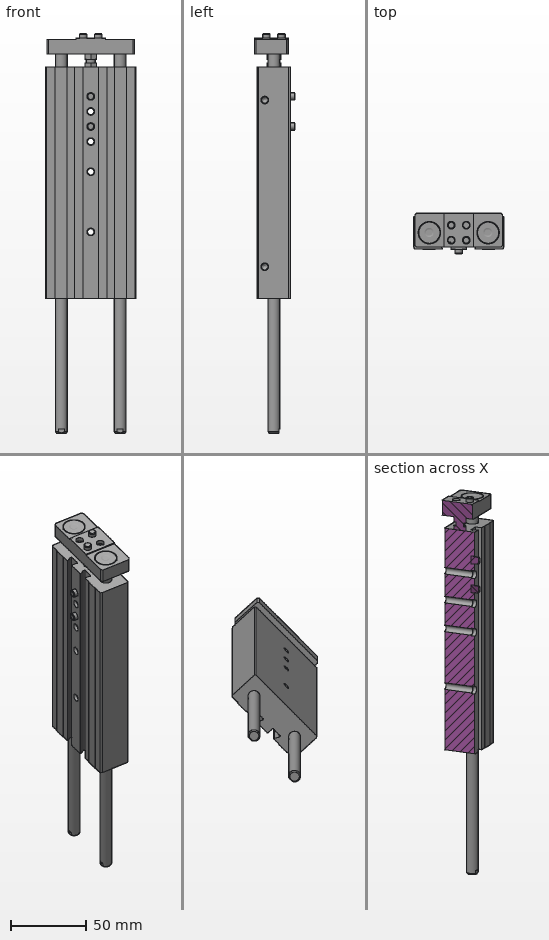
import cadquery as cq
import math


rod_diameter = 8.0
rod_spacing = 39.0
rod_end_chamfer_width = 0.8
rod_end_chamfer_height = 1.0
rod_flat_depth = 0.5
rod_flat_height = 3.0
rod_head_diameter = 14.0
rod_head_height = 4.0
rod_dimple_diameter = 6.0
rod_dimple_floor_diameter = 4.2
rod_dimple_depth = 0.3

housing_width = 60.0
housing_depth = 22.3
housing_bottom_z = 89.5
housing_top_z = 243.5
housing_front_chamfer_x = 0.8
housing_front_chamfer_y = 1.5
housing_back_chamfer = 0.8

rail_inner_x = 15.7
rail_outer_x = 23.6
relief_depth = 0.3

land_half_width = 5.3
slot_mouth_width = 5.5
slot_depth = 4.8
slot_undercut = 1.5
slot_lip = 0.8
slot_wall_height = 1.3

first_hole_z = 224.0
last_hole_drop = 90.0
housing_hole_steps = (0, 1, 2, 3, 5, 9)
hole_pitch = last_hole_drop / housing_hole_steps[-1]
pin_diameter = 5.0
pin_recess_depth = 2.7
tapped_diameter = 4.2
housing_pin_steps = (0, 2)

port_diameter = 5.0
port_entry_depth = 0.5
port_depth = 3.2
port_cone_depth = 1.5
port_y = 6.0
port_heights = (110.8, 221.5)

plate_width = 58.5
plate_back_y = 13.0
plate_front_y = -9.5
plate_bottom_z = 252.0
plate_shoulder_z = 262.0
plate_pad_z = 262.7
plate_pad_width = 20.0
plate_corner_chamfer = 1.2
head_recess_diameter = 15.0

nut_across_flats = 8.0
nut_height = 3.5
stop_screw_diameter = 6.0
stop_head_height = 2.7

pin_projection = 3.0
pin_chamfer = 0.5

rod_centres = [(side * rod_spacing / 2, 0) for side in (-1, 1)]
slot_outer_x = land_half_width + slot_mouth_width
housing_front_y = -housing_depth / 2
housing_back_y = housing_depth / 2
housing_height = housing_top_z - housing_bottom_z
plate_depth = plate_back_y - plate_front_y
plate_centre_y = (plate_back_y + plate_front_y) / 2
head_seat_z = plate_shoulder_z - rod_head_height
plate_hole_offset = hole_pitch / 2


def upright_cylinder(diameter, bottom_z, top_z, centre=(0, 0)):
    return cq.Workplane("XY", origin=(*centre, bottom_z)).circle(diameter / 2).extrude(top_z - bottom_z)


def upright_hexagon(across_flats, bottom_z, top_z):
    """Hexagonal prism with two of its corners on the Y axis."""
    corner_radius = across_flats / 2 / math.cos(math.pi / 6)
    corner_angles = [math.pi / 2 + corner * math.pi / 3 for corner in range(6)]
    corners = [(corner_radius * math.cos(angle), corner_radius * math.sin(angle)) for angle in corner_angles]
    hexagon = cq.Workplane("XY", origin=(0, 0, bottom_z)).polyline(corners).close()
    return hexagon.extrude(top_z - bottom_z)


def housing_profile(points):
    """Prism over the full height of the housing."""
    outline = cq.Workplane("XY", origin=(0, 0, housing_bottom_z)).polyline(points).close()
    return outline.extrude(housing_height)


def front_hole_z(step):
    return first_hole_z - step * hole_pitch


def front_hole(diameter, depth, z):
    centre = cq.Workplane("XZ", origin=(0, housing_front_y, z))
    return centre.circle(diameter / 2).extrude(-depth)


def make_blank():
    half = housing_width / 2
    back = [
        (half, housing_back_y - housing_back_chamfer),
        (half - housing_back_chamfer, housing_back_y),
        (-half + housing_back_chamfer, housing_back_y),
        (-half, housing_back_y - housing_back_chamfer),
    ]
    front = [
        (-half, housing_front_y + housing_front_chamfer_y),
        (-half + housing_front_chamfer_x, housing_front_y),
        (half - housing_front_chamfer_x, housing_front_y),
        (half, housing_front_y + housing_front_chamfer_y),
    ]
    return housing_profile(back + front)


def make_sensor_slot(mouth_left_x):
    """Slot with a straight right wall, and an undercut behind its left lip."""
    mouth_right_x = mouth_left_x + slot_mouth_width
    floor_y = housing_front_y + slot_depth
    return housing_profile([
        (mouth_left_x, housing_front_y),
        (mouth_left_x, housing_front_y + slot_lip),
        (mouth_left_x - slot_undercut, floor_y - slot_wall_height),
        (mouth_left_x - slot_undercut, floor_y),
        (mouth_right_x, floor_y),
        (mouth_right_x, housing_front_y),
    ])


def make_relief(side, inner_x, outer_x):
    """Thin strip that lowers the front face beside a rail."""
    return housing_profile([
        (side * inner_x, housing_front_y),
        (side * inner_x, housing_front_y + relief_depth),
        (side * outer_x, housing_front_y + relief_depth),
        (side * outer_x, housing_front_y),
    ])


def make_port(z):
    """Port hole in the left side, with a countersunk mouth and a conical end."""
    left_x = -housing_width / 2
    half_section = cq.Workplane("XY", origin=(left_x, port_y, z)).polyline([
        (0, 0),
        (0, port_diameter / 2),
        (port_entry_depth, tapped_diameter / 2),
        (port_depth, tapped_diameter / 2),
        (port_depth + port_cone_depth, 0),
    ]).close()
    return half_section.revolve(360, (0, 0, 0), (1, 0, 0))


def make_housing():
    housing = make_blank()
    for mouth_left_x in (-slot_outer_x, land_half_width):
        housing = housing.cut(make_sensor_slot(mouth_left_x))
    for side in (-1, 1):
        housing = housing.cut(make_relief(side, slot_outer_x, rail_inner_x))
        housing = housing.cut(make_relief(side, rail_outer_x, housing_width / 2))
    for step in housing_hole_steps:
        z = front_hole_z(step)
        housing = housing.cut(front_hole(pin_diameter, pin_recess_depth, z))
        if step not in housing_pin_steps:
            housing = housing.cut(front_hole(tapped_diameter, housing_depth, z))
    for z in port_heights:
        housing = housing.cut(make_port(z))
    for centre in rod_centres:
        housing = housing.cut(upright_cylinder(rod_diameter, housing_bottom_z, housing_top_z, centre))
    return housing


def make_stop_screw():
    """Lock nut, threaded shank and the hexagonal head that rests on the housing."""
    nut = upright_hexagon(nut_across_flats, plate_bottom_z - nut_height, plate_bottom_z)
    shank = upright_cylinder(stop_screw_diameter, housing_top_z, plate_bottom_z)
    head = upright_hexagon(nut_across_flats, housing_top_z, housing_top_z + stop_head_height)
    return nut.union(shank).union(head)


def make_plate():
    base = cq.Workplane("XY", origin=(0, plate_centre_y, plate_bottom_z))
    plate = base.rect(plate_width, plate_depth).extrude(plate_shoulder_z - plate_bottom_z)
    plate = plate.edges("|Z").chamfer(plate_corner_chamfer)
    pad = base.rect(plate_pad_width, plate_depth).extrude(plate_pad_z - plate_bottom_z)
    plate = plate.union(pad)
    for centre in rod_centres:
        plate = plate.cut(upright_cylinder(rod_diameter, plate_bottom_z, head_seat_z, centre))
        plate = plate.cut(upright_cylinder(head_recess_diameter, head_seat_z, plate_pad_z, centre))
    for x_side in (-1, 1):
        for y_side in (-1, 1):
            centre = (x_side * plate_hole_offset, y_side * plate_hole_offset)
            recess_z = plate_pad_z - pin_recess_depth
            plate = plate.cut(upright_cylinder(pin_diameter, recess_z, plate_pad_z, centre))
            holds_pin = x_side != y_side
            if not holds_pin:
                plate = plate.cut(upright_cylinder(tapped_diameter, plate_bottom_z, plate_pad_z, centre))
    return plate.union(make_stop_screw())


def make_rod(centre):
    """Rod with a chamfer and a front flat at the lower end, and a dimpled head at the upper end."""
    rod_radius = rod_diameter / 2
    head_radius = rod_head_diameter / 2
    dimple_floor_z = plate_shoulder_z - rod_dimple_depth
    rod = cq.Workplane("XZ").polyline([
        (0, 0),
        (rod_radius - rod_end_chamfer_width, 0),
        (rod_radius, rod_end_chamfer_height),
        (rod_radius, head_seat_z),
        (head_radius, head_seat_z),
        (head_radius, plate_shoulder_z),
        (rod_dimple_diameter / 2, plate_shoulder_z),
        (rod_dimple_floor_diameter / 2, dimple_floor_z),
        (0, dimple_floor_z),
    ]).close().revolve(360, (0, 0, 0), (0, 1, 0))
    waste = cq.Workplane("XY", origin=(0, -rod_radius, 0))
    waste = waste.box(rod_diameter, rod_flat_depth, rod_flat_height, centered=(True, False, False))
    return rod.cut(waste).translate((*centre, 0))


def make_pin(seat, outward):
    """Pin filling its recess below the seat point, with its outer end chamfered."""
    pin = cq.Workplane(cq.Plane(origin=seat, normal=outward)).workplane(offset=-pin_recess_depth)
    pin = pin.circle(pin_diameter / 2).extrude(pin_recess_depth + pin_projection)
    outer_end = cq.selectors.DirectionMinMaxSelector(cq.Vector(*outward), True)
    return pin.faces(outer_end).chamfer(pin_chamfer)


housing = make_housing()
plate = make_plate()
rods = [make_rod(centre) for centre in rod_centres]
pins = []
for step in housing_pin_steps:
    pins.append(make_pin((0, housing_front_y, front_hole_z(step)), (0, -1, 0)))
for side in (-1, 1):
    pin_seat = (side * plate_hole_offset, -side * plate_hole_offset, plate_pad_z)
    pins.append(make_pin(pin_seat, (0, 0, 1)))

result = cq.Compound.makeCompound([
    housing.val(),
    plate.val(),
    *[rod.val() for rod in rods],
    *[pin.val() for pin in pins],
])